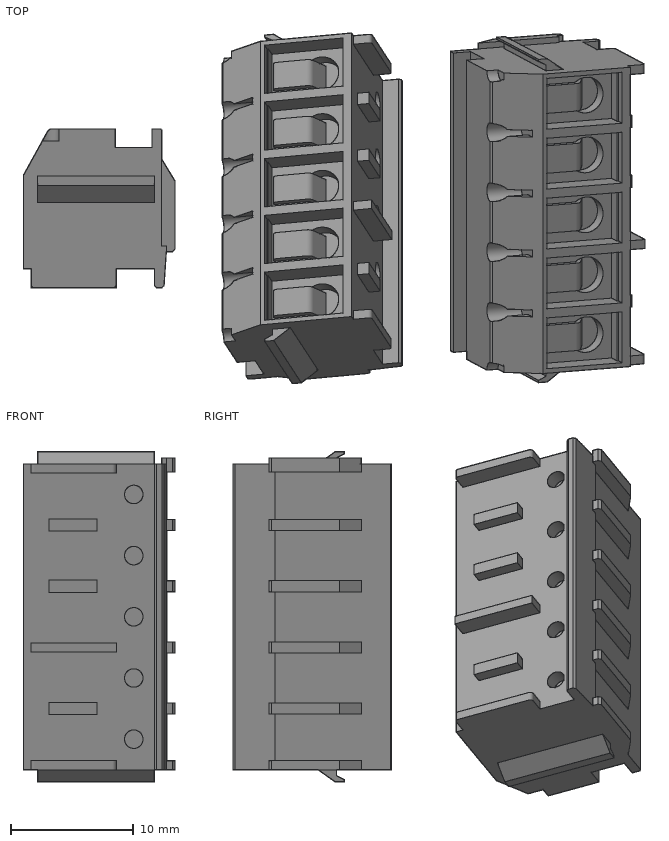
import cadquery as cq
import math


poles = 5
pitch = 5.0
height = poles * pitch
depth = 13.0

front_face_y = 1.55
back_slot_floor_y = 11.48
slope_start_y = 9.2
slope_end_x = 2.08
corner_flat = 0.14
back_slot_start_x = 7.5
foot_start_x = 10.7
back_wall_start_x = 10.5
right_face_x = 11.3
foot_right_x = 11.72
foot_tip_right_x = 11.5
foot_top_y = 3.43
foot_tip_chamfer = 0.2
back_wall_chamfer = 0.1

plate_outer_x = 12.4
plate_front_y = 2.95
plate_slope_y = 8.72
plate_back_y = 10.5
plate_corner = 0.22
plate_width = 0.92
bottom_plate_height = 0.75
top_plate_start_z = 24.33
top_plate_end_z = 25.5

long_rib_x = 0.62
long_rib_length = 6.97
long_rib_width = 0.75
long_rib_corner = 0.3
long_rib_level = 2
short_rib_x = 2.08
short_rib_length = 3.92
short_rib_width = 1.0
short_rib_levels = (1, 3, 4)
short_rib_y = 0.6

hook_x = 1.15
hook_length = 9.53
overall_height = 27.0
hook_height = (overall_height - height) / 2
hook_root_y = 6.97
hook_crest_y = 8.37
hook_neck_y = 8.48
hook_tip_y = 9.13
hook_neck_height = 0.49
hook_tip_height = 0.8

pocket_y = 2.27
pocket_width = 6.6
pocket_height = 4.25
pocket_step = 0.1
pocket_step_x = 0.85
pocket_floor_x = 2.08
wire_hole_y = 4.62
wire_hole_radius = 1.48

spring_width = 2.3
spring_top_x = 1.55
spring_end_y = 8.55
spring_edge_radius = 0.38
spring_bend_y = 5.7
spring_bend_radius = 0.55
spring_bend_angle = math.radians(64)
spring_tip_y = 4.48

test_hole_x = 9.02
test_hole_radius = 0.75
test_hole_depth = 1.35

groove_x = 2.13
groove_radius = 0.77
groove_floor_y = 9.95
end_groove_floor_y = 12.02
groove_neck_width = 0.57

overlap = 0.03


def box(x, y, z, length, width, tall):
    """Box with its left, front, bottom corner at (x, y, z)."""
    return cq.Workplane("XY").box(length, width, tall, centered=False).translate((x, y, z))


def make_housing():
    outline = [
        (0, front_face_y),
        (foot_start_x, front_face_y),
        (foot_start_x, foot_tip_chamfer),
        (foot_start_x + foot_tip_chamfer, 0),
        (right_face_x, 0),
        (foot_tip_right_x, foot_tip_chamfer),
        (foot_right_x, foot_top_y),
        (right_face_x, foot_top_y),
        (right_face_x, depth - back_wall_chamfer),
        (right_face_x - back_wall_chamfer, depth),
        (back_wall_start_x, depth),
        (back_wall_start_x, back_slot_floor_y),
        (back_slot_start_x, back_slot_floor_y),
        (back_slot_start_x, depth),
        (slope_end_x + corner_flat, depth),
        (slope_end_x - corner_flat / 2, depth - corner_flat),
        (0, slope_start_y),
    ]
    return cq.Workplane("XY").polyline(outline).close().extrude(height)


def make_key_plate(bottom_z, top_z):
    outline = [
        (right_face_x - overlap, plate_back_y),
        (right_face_x, plate_back_y),
        (plate_outer_x, plate_slope_y),
        (plate_outer_x, plate_front_y + plate_corner),
        (plate_outer_x - plate_corner, plate_front_y),
        (foot_right_x - overlap, plate_front_y),
        (foot_right_x - overlap, foot_top_y),
        (right_face_x - overlap, foot_top_y),
    ]
    plate = cq.Workplane("XY").polyline(outline).close().extrude(top_z - bottom_z)
    return plate.translate((0, 0, bottom_z))


def make_long_rib(bottom_z):
    return box(long_rib_x, 0, bottom_z, long_rib_length, front_face_y + overlap, long_rib_width)


def make_short_rib(center_z):
    bottom_z = center_z - short_rib_width / 2
    rib_depth = front_face_y + overlap - short_rib_y
    return box(short_rib_x, short_rib_y, bottom_z, short_rib_length, rib_depth, short_rib_width)


def make_top_hook():
    outline = [
        (hook_root_y, height - overlap),
        (hook_root_y, height),
        (hook_crest_y, height + hook_height),
        (hook_tip_y, height + hook_height),
        (hook_tip_y, height + hook_tip_height),
        (hook_neck_y, height + hook_neck_height),
        (hook_neck_y, height - overlap),
    ]
    hook = cq.Workplane("YZ").polyline(outline).close().extrude(hook_length)
    return hook.translate((hook_x, 0, 0))


bend_end_x = spring_top_x + spring_bend_radius * (1 - math.cos(spring_bend_angle))
bend_end_y = spring_bend_y - spring_bend_radius * math.sin(spring_bend_angle)
wire_hole_floor_x = bend_end_x + (bend_end_y - spring_tip_y) * math.tan(spring_bend_angle)


def make_spring(center_z):
    half_bend = spring_bend_angle / 2
    bend_mid = (
        spring_top_x + spring_bend_radius * (1 - math.cos(half_bend)),
        spring_bend_y - spring_bend_radius * math.sin(half_bend),
    )
    spring = (
        cq.Workplane("XY")
        .moveTo(wire_hole_floor_x + overlap, spring_end_y)
        .lineTo(spring_top_x + spring_edge_radius, spring_end_y)
        .radiusArc((spring_top_x, spring_end_y - spring_edge_radius), -spring_edge_radius)
        .lineTo(spring_top_x, spring_bend_y)
        .threePointArc(bend_mid, (bend_end_x, bend_end_y))
        .lineTo(wire_hole_floor_x, spring_tip_y)
        .lineTo(wire_hole_floor_x + overlap, spring_tip_y)
        .close()
        .extrude(spring_width)
    )
    return spring.translate((0, 0, center_z - spring_width / 2))


def make_pocket(center_z):
    bottom_z = center_z - pocket_height / 2
    mouth = box(0, pocket_y, bottom_z, pocket_step_x, pocket_width, pocket_height)
    inner_width = pocket_width - 2 * pocket_step
    inner = box(0, pocket_y + pocket_step, bottom_z, pocket_floor_x, inner_width, pocket_height)
    wire_hole = (
        cq.Workplane("YZ").center(wire_hole_y, center_z).circle(wire_hole_radius).extrude(wire_hole_floor_x)
    )
    return mouth.union(inner).union(wire_hole)


def make_test_hole(center_z):
    hole = cq.Workplane("XZ").center(test_hole_x, center_z).circle(test_hole_radius).extrude(-test_hole_depth)
    return hole.translate((0, front_face_y, 0))


def make_groove(center_z, floor_y):
    length = depth - floor_y
    bore = cq.Workplane("XZ").center(groove_x, center_z).circle(groove_radius).extrude(-length)
    bore = bore.translate((0, floor_y, 0))
    neck_z = center_z - groove_neck_width / 2
    return bore.union(box(0, floor_y, neck_z, groove_x, length, groove_neck_width))


result = make_housing()

for end_z in (0, height - long_rib_width):
    result = result.union(make_long_rib(end_z).edges("|Z and <Y").fillet(long_rib_corner))
result = result.union(make_long_rib(long_rib_level * pitch - long_rib_width / 2))
for level in short_rib_levels:
    result = result.union(make_short_rib(level * pitch))

result = result.union(make_key_plate(0, bottom_plate_height))
result = result.union(make_key_plate(top_plate_start_z, top_plate_end_z))
for joint in range(1, poles):
    joint_z = joint * pitch
    result = result.union(make_key_plate(joint_z - plate_width / 2, joint_z + plate_width / 2))

top_hook = make_top_hook()
result = result.union(top_hook).union(top_hook.mirror("XY", (0, 0, height / 2)))

for pole in range(poles):
    pole_z = (pole + 0.5) * pitch
    result = result.cut(make_pocket(pole_z)).union(make_spring(pole_z)).cut(make_test_hole(pole_z))

for joint in range(poles + 1):
    floor_y = end_groove_floor_y if joint in (0, poles) else groove_floor_y
    result = result.cut(make_groove(joint * pitch, floor_y))